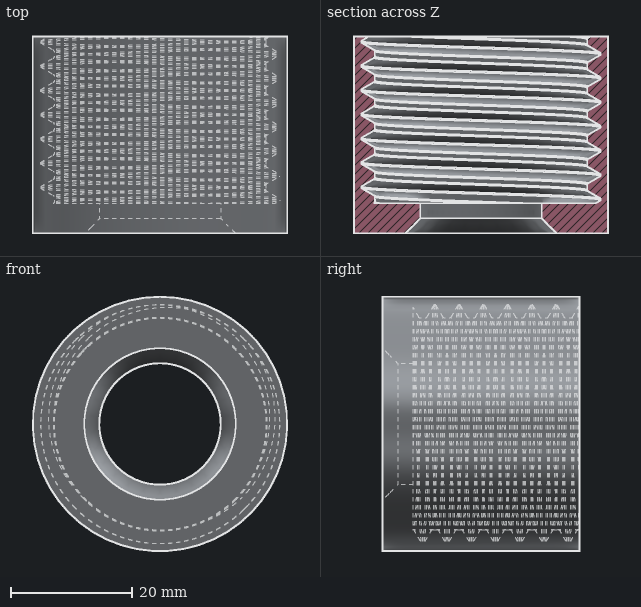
import math

import cadquery as cq

BODY_DIAMETER = 42.0
BODY_LENGTH = 32.5
FRONT_Y = -BODY_LENGTH / 2

BORE_DIAMETER = 20.0
COUNTERSINK_DIAMETER = 25.0
COUNTERSINK_DEPTH = (COUNTERSINK_DIAMETER - BORE_DIAMETER) / 2
FRONT_WALL = 5.0
CAVITY_Y = FRONT_Y + FRONT_WALL
CAVITY_DEPTH = BODY_LENGTH - FRONT_WALL

MINOR_DIAMETER = 34.97
MAJOR_DIAMETER = 39.44
PITCH = 4.0
CREST_WIDTH = 0.85
CREST_CHAMFER_WIDTH = 0.234
CREST_CHAMFER_ANGLE = 30.0
CREST_CHAMFER_DEPTH = CREST_CHAMFER_WIDTH * math.tan(math.radians(CREST_CHAMFER_ANGLE))
FLANK_ANGLE = 30.0
GROOVE_LEAD_IN = 3.9
GROOVE_RUN_OUT = 3.5
GROOVE_START_ANGLE = 45.0
MOUTH_OVERLAP = 0.1


def disc(diameter, start_y, length):
    """Cylinder on the Y axis, from start_y towards +Y."""
    solid = cq.Solid.makeCylinder(diameter / 2, length, cq.Vector(0, start_y, 0), cq.Vector(0, 1, 0))
    return cq.Workplane(solid)


def countersink():
    """Cone that narrows from the front face to the bore."""
    solid = cq.Solid.makeCone(
        COUNTERSINK_DIAMETER / 2,
        BORE_DIAMETER / 2,
        COUNTERSINK_DEPTH,
        cq.Vector(0, FRONT_Y, 0),
        cq.Vector(0, 1, 0),
    )
    return cq.Workplane(solid)


def thread_groove():
    """Trapezoidal helical groove that overruns both ends of the threaded sleeve."""
    minor_radius = MINOR_DIAMETER / 2
    mouth_radius = minor_radius - MOUTH_OVERLAP
    chamfer_radius = minor_radius + CREST_CHAMFER_DEPTH
    root_radius = MAJOR_DIAMETER / 2
    flank_width = (root_radius - chamfer_radius) * math.tan(math.radians(FLANK_ANGLE))
    mouth_half = (PITCH - CREST_WIDTH) / 2
    chamfer_half = mouth_half - CREST_CHAMFER_WIDTH
    root_half = chamfer_half - flank_width
    mouth_flare = MOUTH_OVERLAP / math.tan(math.radians(CREST_CHAMFER_ANGLE))

    helix_length = GROOVE_LEAD_IN + CAVITY_DEPTH + GROOVE_RUN_OUT
    helix = cq.Workplane(cq.Wire.makeHelix(PITCH, helix_length, minor_radius))
    upper_side = [
        (root_radius, root_half),
        (chamfer_radius, chamfer_half),
        (minor_radius, mouth_half),
        (mouth_radius, mouth_half + mouth_flare),
    ]
    lower_side = [(radius, -half) for radius, half in reversed(upper_side)]
    profile = cq.Workplane("XZ").polyline(upper_side + lower_side).close()
    groove = profile.sweep(helix, isFrenet=True)
    groove = groove.rotate((0, 0, 0), (1, 0, 0), -90)
    groove = groove.rotate((0, 0, 0), (0, 1, 0), -GROOVE_START_ANGLE)
    return groove.translate((0, CAVITY_Y - GROOVE_LEAD_IN, 0))


def front_wall():
    """End wall with the countersunk bore."""
    wall = disc(BODY_DIAMETER, FRONT_Y, FRONT_WALL)
    wall = wall.cut(disc(BORE_DIAMETER, FRONT_Y, FRONT_WALL))
    return wall.cut(countersink())


def threaded_sleeve():
    """Round wall of the cavity with the thread cut into it."""
    sleeve = disc(BODY_DIAMETER, CAVITY_Y, CAVITY_DEPTH)
    sleeve = sleeve.cut(disc(MINOR_DIAMETER, CAVITY_Y, CAVITY_DEPTH))
    return sleeve.cut(thread_groove())


result = front_wall().union(threaded_sleeve())